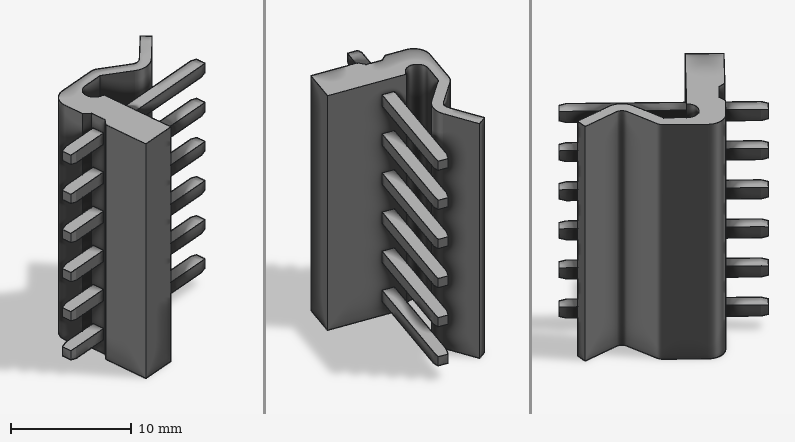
import cadquery as cq
import math


pin_count = 6
header_length = 23.75
pitch = header_length / pin_count
pin_width = 1.15
pin_tip_width = 0.93
pin_tip_length = 0.6
pin_back = -3.59
pin_front = 13.8

base_right = 5.58
base_left = -4.68
base_depth = 3.23
corner_radius = 1.5
channel_floor_width = 1.47
channel_depth = 0.52

strip = 1.0
root_radius = 1.0
root_bend_y = 5.18
lower_lean = 36.0
lower_arm_length = 3.02
nose_radius = 0.74
upper_lean = -38.5
upper_arm_length = 3.35


def step(point, lean, distance):
    """Move from a point in the direction that leans from +Y towards +X by the given degrees."""
    angle = math.radians(lean)
    return (point[0] + distance * math.sin(angle), point[1] + distance * math.cos(angle))


def make_body():
    """Base block and latch as one extruded profile."""
    channel_floor = channel_floor_width / 2
    channel_mouth = channel_floor + channel_depth
    wall_inner = base_left + strip
    outer_nose_radius = nose_radius + strip
    root_x = wall_inner + root_radius

    root_bend = (wall_inner, root_bend_y)
    nose_start = step(root_bend, lower_lean, lower_arm_length)
    nose_centre = step(nose_start, lower_lean - 90, outer_nose_radius)
    nose_outer_tip = step(nose_centre, 90, outer_nose_radius)
    nose_end = step(nose_centre, upper_lean + 90, outer_nose_radius)
    latch_end = step(nose_end, upper_lean, upper_arm_length)

    latch_end_outer = step(latch_end, upper_lean - 90, strip)
    nose_end_outer = step(nose_centre, upper_lean + 90, nose_radius)
    nose_inner_tip = step(nose_centre, 90, nose_radius)
    nose_start_outer = step(nose_centre, lower_lean + 90, nose_radius)
    root_arc_start = step(root_bend, lower_lean - 90, strip)
    root_arc_middle = step(root_bend, lower_lean / 2 - 90, strip)

    return (
        cq.Workplane("XY")
        .moveTo(base_left + corner_radius, 0)
        .lineTo(-channel_mouth, 0)
        .lineTo(-channel_floor, channel_depth)
        .lineTo(channel_floor, channel_depth)
        .lineTo(channel_mouth, 0)
        .lineTo(base_right, 0)
        .lineTo(base_right, base_depth)
        .lineTo(root_x + root_radius, base_depth)
        .threePointArc((root_x, base_depth - root_radius), (wall_inner, base_depth))
        .lineTo(*root_bend)
        .lineTo(*nose_start)
        .threePointArc(nose_outer_tip, nose_end)
        .lineTo(*latch_end)
        .lineTo(*latch_end_outer)
        .lineTo(*nose_end_outer)
        .threePointArc(nose_inner_tip, nose_start_outer)
        .lineTo(*root_arc_start)
        .threePointArc(root_arc_middle, (base_left, root_bend_y))
        .lineTo(base_left, corner_radius)
        .radiusArc((base_left + corner_radius, 0), -corner_radius)
        .close()
        .extrude(header_length)
    )


def make_pin(height):
    """Square pin along Y with a tapered tip at each end, centred at the given Z."""
    shank_start = pin_back + pin_tip_length
    shank_end = pin_front - pin_tip_length
    shank = cq.Workplane("XY").box(pin_width, shank_end - shank_start, pin_width)
    pin = shank.translate((0, (shank_start + shank_end) / 2, 0))
    for shank_face, tip_direction in ((shank_start, -1), (shank_end, 1)):
        face = cq.Plane(origin=(0, shank_face, 0), xDir=(1, 0, 0), normal=(0, tip_direction, 0))
        tip = (
            cq.Workplane(face)
            .rect(pin_width, pin_width)
            .workplane(offset=pin_tip_length)
            .rect(pin_tip_width, pin_tip_width)
            .loft(ruled=True)
        )
        pin = pin.union(tip)
    return pin.translate((0, 0, height))


result = make_body()
for index in range(pin_count):
    result = result.union(make_pin((index + 0.5) * pitch))